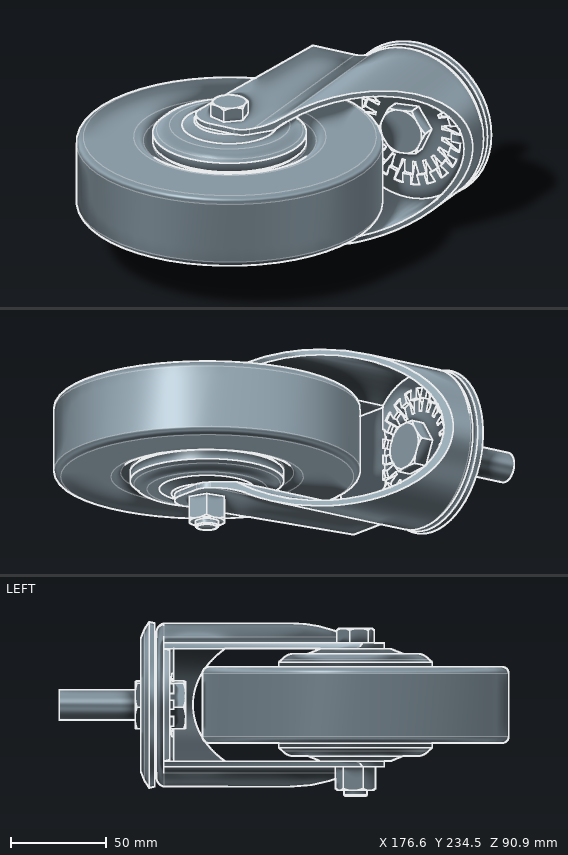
import cadquery as cq
import math


WHEEL_RADIUS = 80.0
WHEEL_HALF_WIDTH = 20.0
TREAD_FILLET = 3.5
GROOVE_OUTER_RADIUS = 50.2
GROOVE_DEPTH = 4.2
GROOVE_FLOOR = WHEEL_HALF_WIDTH - GROOVE_DEPTH

CAP_RADIUS = 40.0
CAP_RIM_BOTTOM = 17.4
CAP_SIDE_TOP = 22.3
CAP_NECK_RADIUS = 38.2
CAP_SHOULDER_RADIUS = 38.2
CAP_SHOULDER_TOP = 24.0
CAP_CROWN_BULGE = 0.7
CAP_FLAT_RADIUS = 31.5
CAP_FLAT_TOP = 26.7
CONE_BASE_RADIUS = 24.9
CONE_TIP_RADIUS = 18.5

SWIVEL_X = 53.2
SHEET = 3.0
LEG_OUTER = 32.4
LEG_INNER = LEG_OUTER - SHEET
FORK_RADIUS = 42.7
FORK_BORE_RADIUS = FORK_RADIUS - SHEET
LEG_FLAT_END_X = 19.2
PLATE_TOP = 100.0
PLATE_UNDERSIDE = PLATE_TOP - SHEET
PLATE_TIP_X = -13.5
LEG_TOP_X = -7.7
LEG_FOOT_X = -19.0
LEG_FOOT_Y = -15.0
LEG_TOP_BEVEL = 2.0
LEG_FOOT_BEVEL = 0.5
TOE_FILLET = 14.0
HEEL_FILLET = 9.4
BACK_EDGE_Y = 88.6
HEEL_X = 15.2

RACE_TOP = 104.5
RACE_CROWN_Y = 103.9
RACE_CROWN_RADIUS = 37.0
RACE_NECK_RADIUS = 35.2
RACE_BULGE = 1.0
RACE_FLOOR = 94.7
RACE_RECESS_RADIUS = 26.5
RIB_COUNT = 20
RIB_WIDTH = 4.7
SLOT_OUTER_RADIUS = 32.0
SLOT_INNER_RADIUS = 20.0
SLOT_OUTER_DEPTH = 0.7
SLOT_INNER_DEPTH = 5.2

RING_RADIUS = 43.4
RING_BASE_RADIUS = 42.7
RING_RIM_Y = 107.6
RING_SHOULDER_RADIUS = 39.5
RING_SHOULDER_Y = 110.2
RING_FLAT_RADIUS = 34.7
RING_TOP = 112.0

STUD_RADIUS = 8.0
STUD_TOP = 154.5
KING_HEX_FLATS = 24.0
KING_HEX_ANGLE = 5
KING_NUT_TOP = 115.0
KING_HEAD_BOTTOM = 88.6

AXLE_RADIUS = 6.0
AXLE_HEAD_FLATS = 17.4
AXLE_NUT_FLATS = 18.3
AXLE_HEAD_ANGLE = -18
AXLE_NUT_ANGLE = 22
AXLE_HEAD_TOP = 39.9
AXLE_NUT_BOTTOM = -44.5
AXLE_END = -47.5
AXLE_END_CHAMFER = 0.7

HEX_CHAMFER_HEIGHT = 1.0
HEX_CHAMFER_SHARE = 0.9


def cylinder_z(radius, bottom, top):
    """Cylinder on the axle axis."""
    return cq.Workplane("XY", origin=(0, 0, bottom)).circle(radius).extrude(top - bottom)


def cylinder_y(radius, bottom, top):
    """Cylinder on the swivel axis; the XZ workplane faces -Y, hence the negative extrusion."""
    return cq.Workplane("XZ", origin=(SWIVEL_X, bottom, 0)).circle(radius).extrude(bottom - top)


def revolve_swivel(profile):
    """Revolve a (radius, y) profile, drawn on the plane through the swivel axis, about that axis."""
    return profile.close().revolve(360, (0, 0, 0), (0, 1, 0))


def swivel_profile():
    """Sketch plane whose local origin lies on the swivel axis."""
    return cq.Workplane("XY", origin=(SWIVEL_X, 0, 0))


def hexagon(flats, height, angle):
    """Hexagonal prism standing on Z = 0 with the corners of its top end chamfered."""
    corner_radius = flats / 2 / math.cos(math.pi / 6)
    corner_cut = HEX_CHAMFER_SHARE * (corner_radius - flats / 2)
    prism = cq.Workplane("XY").polygon(6, 2 * corner_radius).extrude(height)
    envelope = (
        cq.Workplane("XZ")
        .lineTo(corner_radius, 0)
        .lineTo(corner_radius, height - HEX_CHAMFER_HEIGHT)
        .lineTo(corner_radius - corner_cut, height)
        .lineTo(0, height)
        .close()
        .revolve(360, (0, 0, 0), (0, 1, 0))
    )
    return prism.intersect(envelope).rotate((0, 0, 0), (0, 0, 1), angle)


def groove():
    """Ring-shaped cutter above the upper cap seat, with an S-shaped wall blending into the side face."""
    slope_run = (GROOVE_OUTER_RADIUS - CAP_RADIUS) / 2
    drop = GROOVE_DEPTH / 2
    sweep = 2 * math.atan(drop / slope_run)
    arc_radius = slope_run / math.sin(sweep)
    half_run = arc_radius * math.sin(sweep / 2)
    half_drop = arc_radius * (1 - math.cos(sweep / 2))
    return (
        cq.Workplane("XZ")
        .moveTo(0, WHEEL_HALF_WIDTH)
        .lineTo(GROOVE_OUTER_RADIUS, WHEEL_HALF_WIDTH)
        .threePointArc(
            (GROOVE_OUTER_RADIUS - half_run, WHEEL_HALF_WIDTH - half_drop),
            (GROOVE_OUTER_RADIUS - slope_run, WHEEL_HALF_WIDTH - drop),
        )
        .threePointArc((CAP_RADIUS + half_run, GROOVE_FLOOR + half_drop), (CAP_RADIUS, GROOVE_FLOOR))
        .lineTo(0, GROOVE_FLOOR)
        .close()
        .revolve(360, (0, 0, 0), (0, 1, 0))
    )


def wheel():
    """Solid tyre with rounded tread corners and a groove around the seat of each hub cap."""
    body = cylinder_z(WHEEL_RADIUS, -WHEEL_HALF_WIDTH, WHEEL_HALF_WIDTH)
    body = body.edges("%CIRCLE").fillet(TREAD_FILLET)
    seat = groove()
    body = body.cut(seat).cut(seat.mirror("XY"))
    return body.cut(cylinder_z(AXLE_RADIUS, -GROOVE_FLOOR, GROOVE_FLOOR))


def hub_cap(side):
    """Domed cap with a conical spacer reaching the fork leg; side is +1 above and -1 below."""
    crown_middle_radius = (CAP_SHOULDER_RADIUS + CAP_FLAT_RADIUS) / 2 + CAP_CROWN_BULGE
    crown_middle_z = (CAP_SHOULDER_TOP + CAP_FLAT_TOP) / 2 + CAP_CROWN_BULGE
    cap = (
        cq.Workplane("XZ")
        .moveTo(AXLE_RADIUS, GROOVE_FLOOR)
        .lineTo(CAP_NECK_RADIUS, GROOVE_FLOOR)
        .lineTo(CAP_NECK_RADIUS, CAP_RIM_BOTTOM)
        .lineTo(CAP_RADIUS, CAP_RIM_BOTTOM)
        .lineTo(CAP_RADIUS, CAP_SIDE_TOP)
        .lineTo(CAP_SHOULDER_RADIUS, CAP_SHOULDER_TOP)
        .threePointArc((crown_middle_radius, crown_middle_z), (CAP_FLAT_RADIUS, CAP_FLAT_TOP))
        .lineTo(CONE_BASE_RADIUS, CAP_FLAT_TOP)
        .lineTo(CONE_TIP_RADIUS, LEG_INNER)
        .lineTo(AXLE_RADIUS, LEG_INNER)
        .close()
        .revolve(360, (0, 0, 0), (0, 1, 0))
    )
    return cap if side > 0 else cap.mirror("XY")


def fork_plan():
    """Keyhole outline, looking along the swivel axis: two flat legs flaring into a round."""
    flat_to_axis = SWIVEL_X - LEG_FLAT_END_X
    flare = (flat_to_axis**2 + LEG_OUTER**2 - FORK_RADIUS**2) / (2 * (FORK_RADIUS - LEG_OUTER))
    reach = FORK_RADIUS / (FORK_RADIUS + flare)
    tangent_x = SWIVEL_X - reach * flat_to_axis
    tangent_z = reach * (LEG_OUTER + flare)
    return (
        cq.Workplane("XZ", origin=(0, PLATE_TOP, 0))
        .moveTo(LEG_FOOT_X, -LEG_OUTER)
        .lineTo(LEG_FLAT_END_X, -LEG_OUTER)
        .radiusArc((tangent_x, -tangent_z), flare)
        .threePointArc((SWIVEL_X + FORK_RADIUS, 0), (tangent_x, tangent_z))
        .radiusArc((LEG_FLAT_END_X, LEG_OUTER), flare)
        .lineTo(LEG_FOOT_X, LEG_OUTER)
        .close()
        .extrude(PLATE_TOP - LEG_FOOT_Y)
    )


def fork_side():
    """Side outline of the fork: slanted front edge, rounded feet and a diagonal back edge."""
    back_x = SWIVEL_X + FORK_RADIUS
    legs = (
        cq.Workplane("XY", origin=(0, 0, -FORK_RADIUS))
        .moveTo(LEG_FOOT_X, LEG_FOOT_Y)
        .lineTo(HEEL_X, LEG_FOOT_Y)
        .lineTo(back_x, BACK_EDGE_Y)
        .lineTo(back_x, PLATE_TOP)
        .lineTo(LEG_TOP_X, PLATE_TOP)
        .close()
        .extrude(2 * FORK_RADIUS)
    )
    legs = legs.edges("|Z and <X").fillet(TOE_FILLET)
    heel = cq.selectors.NearestToPointSelector((HEEL_X, LEG_FOOT_Y, 0))
    return legs.edges(heel).fillet(HEEL_FILLET)


def front_bevel():
    """Wedge that bevels the front edge of the upper leg outwards, widening towards the plate."""

    def section(x, y, width):
        return cq.Wire.makePolygon(
            [
                cq.Vector(x, y, LEG_INNER),
                cq.Vector(x, y, LEG_OUTER),
                cq.Vector(x + width, y, LEG_OUTER),
            ],
            close=True,
        )

    sections = [
        section(LEG_FOOT_X, LEG_FOOT_Y, LEG_FOOT_BEVEL),
        section(LEG_TOP_X, PLATE_TOP, LEG_TOP_BEVEL),
    ]
    return cq.Workplane(cq.Solid.makeLoft(sections, True))


def plate_nose():
    """Bowed front edge of the top plate between the legs."""
    return (
        cq.Workplane("XZ", origin=(0, PLATE_TOP, 0))
        .moveTo(LEG_TOP_X, -LEG_INNER)
        .threePointArc((PLATE_TIP_X, 0), (LEG_TOP_X, LEG_INNER))
        .close()
        .extrude(SHEET)
    )


def race_dome():
    """Rounded shoulder on top of the fork with a narrow neck that carries the swivel ring."""
    bulge_radius = (FORK_RADIUS + RACE_CROWN_RADIUS) / 2 + RACE_BULGE
    bulge_y = (PLATE_TOP + RACE_CROWN_Y) / 2 + RACE_BULGE
    profile = (
        swivel_profile()
        .moveTo(0, PLATE_TOP)
        .lineTo(FORK_RADIUS, PLATE_TOP)
        .threePointArc((bulge_radius, bulge_y), (RACE_CROWN_RADIUS, RACE_CROWN_Y))
        .lineTo(RACE_NECK_RADIUS, RACE_CROWN_Y)
        .lineTo(RACE_NECK_RADIUS, RACE_TOP)
        .lineTo(0, RACE_TOP)
    )
    return revolve_swivel(profile)


def race_slots():
    """Wedge-shaped slots with a conical floor, left between straight radial ribs."""
    profile = (
        swivel_profile()
        .moveTo(SLOT_INNER_RADIUS, RACE_FLOOR)
        .lineTo(SLOT_OUTER_RADIUS, RACE_FLOOR)
        .lineTo(SLOT_OUTER_RADIUS, RACE_FLOOR + SLOT_OUTER_DEPTH)
        .lineTo(SLOT_INNER_RADIUS, RACE_FLOOR + SLOT_INNER_DEPTH)
    )
    slots = revolve_swivel(profile)
    for index in range(RIB_COUNT // 2):
        rib = cq.Workplane("XY").box(2 * FORK_RADIUS, PLATE_TOP, RIB_WIDTH)
        rib = rib.rotate((0, 0, 0), (0, 1, 0), 360 / RIB_COUNT * index)
        slots = slots.cut(rib.translate((SWIVEL_X, RACE_FLOOR, 0)))
    return slots


def fork():
    """Pressed fork: two legs, round housing, top plate and ball race in one piece."""
    body = fork_plan().intersect(fork_side())
    gap_end_x = SWIVEL_X - math.sqrt(FORK_BORE_RADIUS**2 - LEG_INNER**2)
    leg_gap = cq.Workplane("XY").box(
        gap_end_x - LEG_FOOT_X,
        PLATE_UNDERSIDE - LEG_FOOT_Y,
        2 * LEG_INNER,
        centered=(False, False, True),
    )
    body = body.cut(leg_gap.translate((LEG_FOOT_X, LEG_FOOT_Y, 0)))
    body = body.cut(cylinder_y(FORK_BORE_RADIUS, LEG_FOOT_Y, RACE_FLOOR))
    bevel = front_bevel()
    body = body.cut(bevel).cut(bevel.mirror("XY"))
    body = body.union(plate_nose()).union(race_dome())
    body = body.cut(cylinder_y(RACE_RECESS_RADIUS, RACE_FLOOR, PLATE_UNDERSIDE))
    body = body.cut(race_slots())
    body = body.cut(cylinder_y(STUD_RADIUS, RACE_FLOOR, RACE_TOP))
    return body.cut(cylinder_z(AXLE_RADIUS, -LEG_OUTER, LEG_OUTER))


def swivel_ring():
    """Sharp-rimmed ring that turns on the ball race."""
    profile = (
        swivel_profile()
        .moveTo(STUD_RADIUS, RACE_TOP)
        .lineTo(RING_BASE_RADIUS, RACE_TOP)
        .lineTo(RING_RADIUS, RING_RIM_Y)
        .lineTo(RING_SHOULDER_RADIUS, RING_SHOULDER_Y)
        .lineTo(RING_FLAT_RADIUS, RING_TOP)
        .lineTo(STUD_RADIUS, RING_TOP)
    )
    return revolve_swivel(profile)


def king_hexagon(bottom, top, chamfer_up):
    """Hexagon on the swivel axis, chamfered at its upper or lower end."""
    tilt = -90 if chamfer_up else 90
    turn = -KING_HEX_ANGLE if chamfer_up else KING_HEX_ANGLE
    start = bottom if chamfer_up else top
    prism = hexagon(KING_HEX_FLATS, top - bottom, turn).rotate((0, 0, 0), (1, 0, 0), tilt)
    return prism.translate((SWIVEL_X, start, 0))


def king_bolt():
    """Plain stud with its hexagon head inside the fork."""
    head = king_hexagon(KING_HEAD_BOTTOM, PLATE_UNDERSIDE, chamfer_up=False)
    return head.union(cylinder_y(STUD_RADIUS, PLATE_UNDERSIDE, STUD_TOP))


def king_nut():
    """Thin nut that clamps the swivel ring."""
    nut = king_hexagon(RING_TOP, KING_NUT_TOP, chamfer_up=True)
    return nut.cut(cylinder_y(STUD_RADIUS, RING_TOP, KING_NUT_TOP))


def axle_bolt():
    """Axle with its hexagon head on the upper leg."""
    head = hexagon(AXLE_HEAD_FLATS, AXLE_HEAD_TOP - LEG_OUTER, AXLE_HEAD_ANGLE)
    shank = cylinder_z(AXLE_RADIUS, AXLE_END, LEG_OUTER).faces("<Z").chamfer(AXLE_END_CHAMFER)
    return shank.union(head.translate((0, 0, LEG_OUTER)))


def axle_nut():
    """Nut under the lower leg, chamfered at its lower end."""
    height = -LEG_OUTER - AXLE_NUT_BOTTOM
    nut = hexagon(AXLE_NUT_FLATS, height, AXLE_NUT_ANGLE).mirror("XY")
    nut = nut.translate((0, 0, -LEG_OUTER))
    return nut.cut(cylinder_z(AXLE_RADIUS, AXLE_NUT_BOTTOM, -LEG_OUTER))


hub_caps = [hub_cap(side).val() for side in (1, -1)]

result = cq.Compound.makeCompound(
    [
        wheel().val(),
        *hub_caps,
        fork().val(),
        swivel_ring().val(),
        king_bolt().val(),
        king_nut().val(),
        axle_bolt().val(),
        axle_nut().val(),
    ]
)